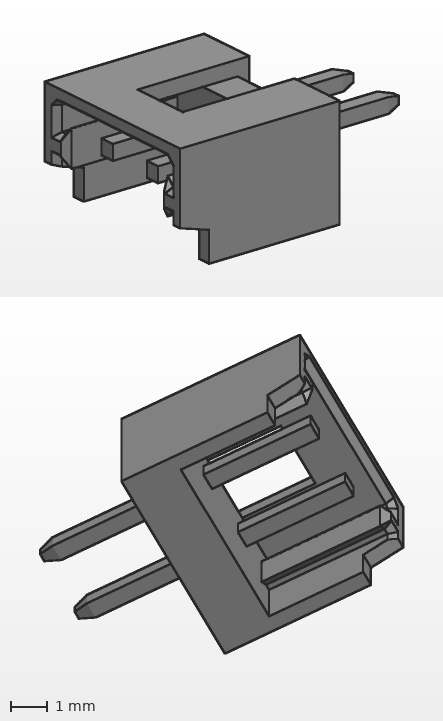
import cadquery as cq
import math


width = 6.0
length = 5.5
height = 3.65
side_wall = 0.45
roof = 0.5
back_wall = 1.6

inner_corner = 0.1
mouth_corner = 0.25
lead_in_width = 0.15
lead_in_depth = 0.25

rib_center_z = 1.9
rib_neck_half = 0.35
rib_tip_half = 0.6
rib_neck_reach = 0.625
rib_tip_reach = 0.875

relief_depth = 1.0
relief_back_z = 1.0
relief_front_z = 1.3

window_width = 2.0
window_front = 1.65
step_length = 0.4
step_z = 2.8

pin_pitch = 2.0
pin_size = 0.5
pin_center_z = 2.15
pin_front = 0.6
pin_tail = 3.5
tip_length = 0.45
tip_size = 0.25

half_width = width / 2
ceiling = height - roof
cavity_depth = length - back_wall
overcut = 1.0


def box(x_size, y_start, y_end, z_start, z_end):
    """Block centred on X = 0."""
    return (
        cq.Workplane("XY")
        .box(x_size, y_end - y_start, z_end - z_start, centered=(True, False, False))
        .translate((0, y_start, z_start))
    )


def cavity_outline(y, corner):
    """Cavity cross-section at depth y, with upper corners cut off by corner.

    It runs out below the open underside.
    """
    wall_x = half_width - side_wall
    neck_x = half_width - rib_neck_reach
    tip_x = half_width - rib_tip_reach
    right_side = [
        (wall_x - corner, ceiling),
        (wall_x, ceiling - corner),
        (wall_x, rib_center_z + rib_neck_half),
        (neck_x, rib_center_z + rib_neck_half),
        (tip_x, rib_center_z + rib_tip_half),
        (tip_x, rib_center_z - rib_tip_half),
        (neck_x, rib_center_z - rib_neck_half),
        (wall_x, rib_center_z - rib_neck_half),
        (wall_x, -overcut),
    ]
    left_side = [(-x, z) for x, z in reversed(right_side)]
    return cq.Workplane("XZ", origin=(0, y, 0)).polyline(right_side + left_side).close()


def make_cavity():
    """Straight cavity plus the lead-in that widens toward the mouth."""
    corner_growth = lead_in_width * (2 - math.sqrt(2))
    straight = cavity_outline(cavity_depth, inner_corner).extrude(cavity_depth)
    inner_wire = cavity_outline(lead_in_depth, inner_corner).wire().val()
    mouth_outline = cavity_outline(0, mouth_corner - corner_growth).wire()
    mouth_wire = mouth_outline.offset2D(lead_in_width, "intersection").val()
    lead_in = cq.Solid.makeLoft([inner_wire, mouth_wire], True)
    return straight.union(cq.Workplane(lead_in))


def make_relief():
    """Sloped cut-out below the front ends of the side walls."""
    return (
        cq.Workplane("YZ", origin=(-half_width, 0, 0))
        .moveTo(0, 0)
        .lineTo(relief_depth, 0)
        .lineTo(relief_depth, relief_back_z)
        .lineTo(0, relief_front_z)
        .close()
        .extrude(width)
    )


def make_window():
    """Roof window open to the rear, cut deeper along the rear edge."""
    opening = box(window_width, window_front, length, ceiling, height)
    step = box(window_width, length - step_length, length, step_z, height)
    return opening.union(step)


def make_pin(x):
    """Square pin with a tapered tail tip."""
    tip_base = length + pin_tail - tip_length
    shaft = box(pin_size, pin_front, tip_base, -pin_size / 2, pin_size / 2)
    tip = (
        cq.Workplane("XZ", origin=(0, tip_base, 0))
        .rect(pin_size, pin_size)
        .workplane(offset=-tip_length)
        .rect(tip_size, tip_size)
        .loft(ruled=True)
    )
    return shaft.union(tip).translate((x, 0, pin_center_z))


housing = box(width, 0, length, 0, height)
housing = housing.cut(make_cavity()).cut(make_relief()).cut(make_window())

result = housing
for side in (-1, 1):
    result = result.union(make_pin(side * pin_pitch / 2))